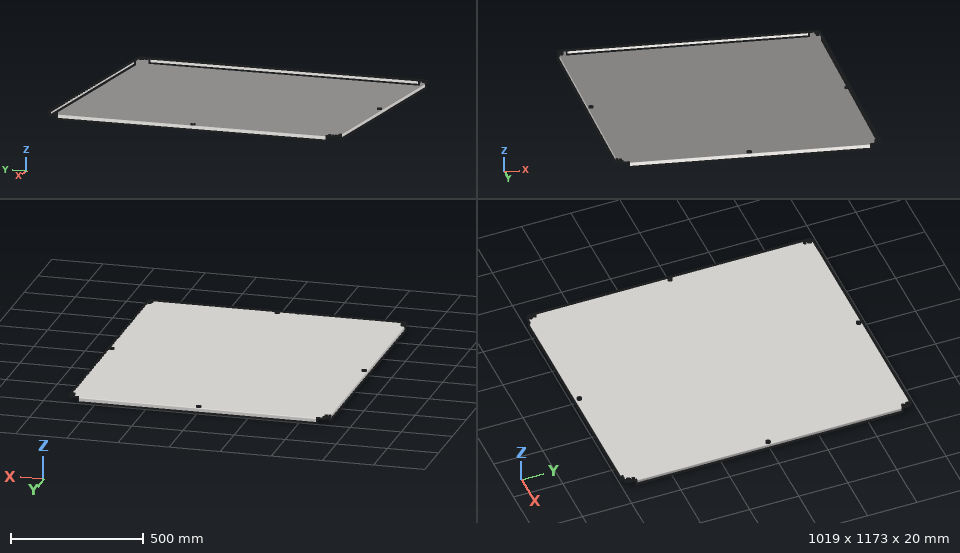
import cadquery as cq

width = 1019.0
length = 1173.0
height = 20.0
sheet = 3.0

bend_radius = 5.0
end_flange_length = 934.0
side_flange_length = 1084.0

edge_setback = 4.0
corner_chamfer = 10.0

mount_diameter = 14.0
mount_inset_x = 15.0
mount_inset_y = 18.0
pilot_diameter = 8.0
pilot_pitch = 19.0
mount_x = width / 2 - mount_inset_x
mount_y = length / 2 - mount_inset_y
pilot_y = mount_y - pilot_pitch


def folded_channel(across, along):
    """Sheet with both long edges folded down; it runs along Y with its top at Z = height."""
    outer = (
        cq.Workplane("XY")
        .box(across, along, height, centered=(True, True, False))
        .edges("|Y and >Z")
        .fillet(bend_radius)
    )
    inner = (
        cq.Workplane("XY")
        .box(across - 2 * sheet, along, height - sheet, centered=(True, True, False))
        .edges("|Y and >Z")
        .fillet(bend_radius - sheet)
    )
    return outer.cut(inner)


def flat_plate():
    """Flat sheet with chamfered corners and the material at the bends removed."""
    plate = (
        cq.Workplane("XY")
        .workplane(offset=height - sheet)
        .rect(width - 2 * edge_setback, length - 2 * edge_setback)
        .extrude(sheet)
        .edges("|Z")
        .chamfer(corner_chamfer)
    )
    side_zone = cq.Workplane("XY").box(width, side_flange_length, 2 * height)
    end_zone = cq.Workplane("XY").box(end_flange_length, length, 2 * height)
    core = cq.Workplane("XY").box(width - 2 * bend_radius, length - 2 * bend_radius, 2 * height)
    return plate.cut(side_zone.union(end_zone).cut(core))


def hole_cutters(points, diameter):
    """Vertical cylinders through the sheet at the given points."""
    return cq.Workplane("XY").pushPoints(points).circle(diameter / 2).extrude(height)


side_flanges = folded_channel(width, side_flange_length)

end_flanges = folded_channel(length, end_flange_length).rotate((0, 0, 0), (0, 0, 1), 90)

panel = flat_plate().union(side_flanges).union(end_flanges)

corner_mounts = [(x, y) for x in (-mount_x, mount_x) for y in (-mount_y, mount_y)]
edge_mounts = [(0, -mount_y), (0, mount_y), (-mount_x, 0), (mount_x, 0)]
corner_pilots = [(x, y) for x in (-mount_x, mount_x) for y in (-pilot_y, pilot_y)]

result = (
    panel
    .cut(hole_cutters(corner_mounts + edge_mounts, mount_diameter))
    .cut(hole_cutters(corner_pilots, pilot_diameter))
)